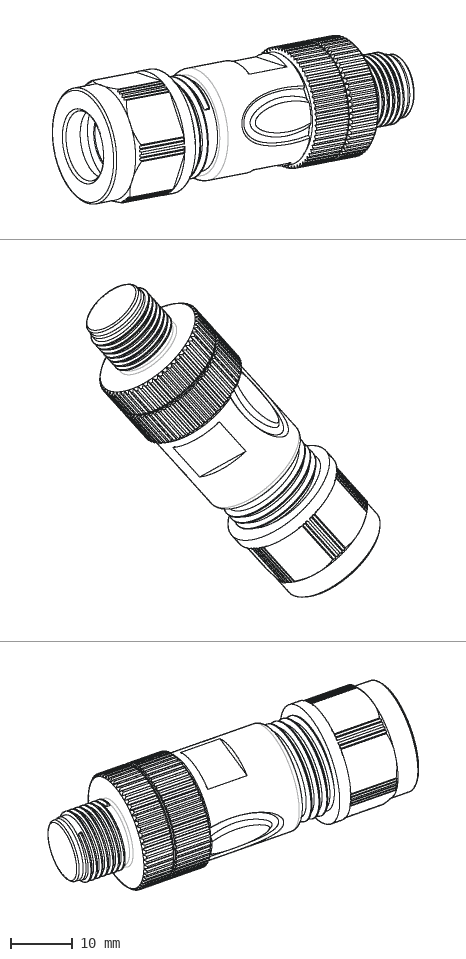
import cadquery as cq
import math



TOTAL_LENGTH = 60.4

COLLAR_RADIUS = 9.55
COLLAR_END = 4.0
COLLAR_CHAMFER = 0.35
NUT_DIAMETER = 20.5
NUT_RADIUS = NUT_DIAMETER / 2
NUT_FLAT_DISTANCE = 9.5
NUT_FLATS = 6
FLATS_END = 13.0
FLANGE_END = 15.05
HEX_TILT = 4.0

GRIP_OFFSETS = (-1.0, -0.4, 0.4, 1.0)
GRIP_GROOVE_RADIUS = 0.21

ENTRY_RADIUS = 5.75
ENTRY_CHAMFER = 0.4
ENTRY_LENGTH = 3.15
CAVITY_RADIUS = 6.95
CAVITY_DEPTH = 5.3
SEAL_RADIUS = 5.1
SEAL_DEPTH = 0.25

REAR_CORE_RADIUS = 7.6
REAR_CREST_RADIUS = 8.45
REAR_PITCH = 1.45
REAR_THREAD_START = 14.2
REAR_THREAD_TURNS = 3.9
REAR_TOOTH_BASE = 1.2
REAR_TOOTH_CREST = 0.2

BODY_START = 20.95
BODY_END = 37.9
BODY_RADIUS = 9.25
BODY_FILLET = 0.95
NECK_RADIUS = 8.7

WRENCH_START = 29.35
WRENCH_END = 36.55
WRENCH_DISTANCE = 8.0
WRENCH_TILT = 4.5

BADGE_TILT = 10.5
BADGE_DEPTH = 0.5
BADGE_INNER_HEIGHT = 7.25
BADGE_OUTER_HEIGHT = 9.65
RING_CENTRE = 34.0
RING_INNER_SIZE = (6.5, 3.55)
RING_OUTER_SIZE = (9.9, 6.95)
ISLAND_CENTRE = 33.45
ISLAND_INNER_SIZE = (9.0, 4.1)
ISLAND_OUTER_SIZE = (5.6, 1.7)

KNURL_RADIUS = 9.95
KNURL_DEPTH = 0.4
KNURL_LAND_SHARE = 0.4
FIXED_RING_START = 38.5
FIXED_RING_END = 44.7
FIXED_RING_TEETH = 64
TURNING_RING_START = 45.0
TURNING_RING_END = 50.55
TURNING_RING_TEETH = 62
TURNING_RING_CHAMFER = 0.4
RING_GAP_RADIUS = 9.4

PLUG_RADIUS = 5.45
PLUG_FLARE = 0.4
TIP_RADIUS = 5.25
TIP_TAPER_START = 58.95
TIP_TAPER_END = 59.4
TIP_CHAMFER = 0.3
PLUG_CREST_RADIUS = 6.0
PLUG_THREAD_START = 51.45
PLUG_THREAD_START_TURN = 80.0
PLUG_THREAD_TURNS = 6.9
PLUG_THREAD_LENGTH = 6.95
PLUG_PITCH = PLUG_THREAD_LENGTH / PLUG_THREAD_TURNS
PLUG_TOOTH_BASE = 0.8
PLUG_TOOTH_CREST = 0.25

THREAD_ROOT_OVERLAP = 0.2


def across_axis(y):
    """Workplane square to the connector axis at y; its normal is -Y, so +Y is a negative extrusion."""
    return cq.Workplane("XZ", origin=(0, y, 0))


def cylinder(radius, start, end):
    return across_axis(start).circle(radius).extrude(start - end)


def turn(shape, degrees):
    """Turn about the connector axis, carrying +Z towards -X."""
    return shape.rotate((0, 0, 0), (0, 1, 0), -degrees)


def make_core():
    """Everything that is round, without the nut, threads and knurled rings."""
    return (
        cq.Workplane("XY")
        .moveTo(0, COLLAR_END)
        .lineTo(REAR_CORE_RADIUS, COLLAR_END)
        .lineTo(REAR_CORE_RADIUS, BODY_START)
        .lineTo(BODY_RADIUS - BODY_FILLET, BODY_START)
        .radiusArc((BODY_RADIUS, BODY_START + BODY_FILLET), -BODY_FILLET)
        .lineTo(BODY_RADIUS, BODY_END)
        .lineTo(NECK_RADIUS, BODY_END)
        .lineTo(NECK_RADIUS, FIXED_RING_END)
        .lineTo(RING_GAP_RADIUS, FIXED_RING_END)
        .lineTo(RING_GAP_RADIUS, TURNING_RING_START)
        .lineTo(NECK_RADIUS, TURNING_RING_START)
        .lineTo(NECK_RADIUS, TURNING_RING_END)
        .lineTo(PLUG_RADIUS + PLUG_FLARE, TURNING_RING_END)
        .radiusArc((PLUG_RADIUS, TURNING_RING_END + PLUG_FLARE), PLUG_FLARE)
        .lineTo(PLUG_RADIUS, TIP_TAPER_START)
        .lineTo(TIP_RADIUS, TIP_TAPER_END)
        .lineTo(TIP_RADIUS, TOTAL_LENGTH - TIP_CHAMFER)
        .lineTo(TIP_RADIUS - TIP_CHAMFER, TOTAL_LENGTH)
        .lineTo(0, TOTAL_LENGTH)
        .close()
        .revolve(360, (0, 0, 0), (0, 1, 0))
    )


def make_nut():
    cone_length = NUT_RADIUS - COLLAR_RADIUS
    nut = (
        cq.Workplane("XY")
        .lineTo(COLLAR_RADIUS - COLLAR_CHAMFER, 0)
        .lineTo(COLLAR_RADIUS, COLLAR_CHAMFER)
        .lineTo(COLLAR_RADIUS, COLLAR_END)
        .lineTo(NUT_RADIUS, COLLAR_END + cone_length)
        .lineTo(NUT_RADIUS, FLANGE_END)
        .lineTo(0, FLANGE_END)
        .close()
        .revolve(360, (0, 0, 0), (0, 1, 0))
    )
    flats_length = FLATS_END - COLLAR_END
    flat_cutter = cq.Workplane("XY").box(
        2 * NUT_RADIUS, flats_length, NUT_RADIUS, centered=(True, False, False)
    ).translate((0, COLLAR_END, NUT_FLAT_DISTANCE))
    step = 360 / NUT_FLATS
    for i in range(NUT_FLATS):
        nut = nut.cut(turn(flat_cutter, HEX_TILT + i * step))
        corner_angle = HEX_TILT + (i + 0.5) * step
        for offset in GRIP_OFFSETS:
            groove = cylinder(GRIP_GROOVE_RADIUS, COLLAR_END, FLATS_END).translate((0, 0, NUT_RADIUS))
            nut = nut.cut(turn(groove, corner_angle + math.degrees(offset / NUT_RADIUS)))
    return nut


def make_cable_entry():
    return (
        cq.Workplane("XY")
        .lineTo(ENTRY_RADIUS + ENTRY_CHAMFER, 0)
        .lineTo(ENTRY_RADIUS, ENTRY_CHAMFER)
        .lineTo(ENTRY_RADIUS, ENTRY_LENGTH)
        .lineTo(CAVITY_RADIUS, ENTRY_LENGTH)
        .lineTo(CAVITY_RADIUS, CAVITY_DEPTH)
        .lineTo(SEAL_RADIUS, CAVITY_DEPTH)
        .lineTo(SEAL_RADIUS, CAVITY_DEPTH + SEAL_DEPTH)
        .lineTo(0, CAVITY_DEPTH + SEAL_DEPTH)
        .close()
        .revolve(360, (0, 0, 0), (0, 1, 0))
    )


def make_thread(core_radius, crest_radius, pitch, turns, base_width, crest_width, start):
    """Right-handed thread ridge that begins on the +X side at Y = start."""
    root_radius = core_radius - THREAD_ROOT_OVERLAP
    helix = cq.Workplane(cq.Wire.makeHelix(pitch, pitch * turns, root_radius))
    ridge = (
        cq.Workplane("XZ")
        .moveTo(root_radius, -base_width / 2)
        .lineTo(crest_radius, -crest_width / 2)
        .lineTo(crest_radius, crest_width / 2)
        .lineTo(root_radius, base_width / 2)
        .close()
        .sweep(helix, isFrenet=True)
    )
    return ridge.rotate((0, 0, 0), (1, 0, 0), -90).translate((0, start, 0))


def make_knurled_ring(teeth, start, end):
    """Ring with flat-topped teeth separated by V grooves."""
    pitch_angle = 2 * math.pi / teeth
    half_land = KNURL_LAND_SHARE * pitch_angle / 2
    points = []
    for i in range(teeth):
        middle = i * pitch_angle
        for radius, angle in (
            (KNURL_RADIUS, middle - half_land),
            (KNURL_RADIUS, middle + half_land),
            (KNURL_RADIUS - KNURL_DEPTH, middle + pitch_angle / 2),
        ):
            points.append((radius * math.cos(angle), radius * math.sin(angle)))
    return across_axis(start).polyline(points).close().extrude(start - end)


def make_turning_ring():
    ring = make_knurled_ring(TURNING_RING_TEETH, TURNING_RING_START, TURNING_RING_END)
    envelope = cylinder(KNURL_RADIUS, TURNING_RING_START, TURNING_RING_END)
    return ring.intersect(envelope.edges().chamfer(TURNING_RING_CHAMFER))


def make_wrench_cutter():
    return cq.Workplane("XY").box(
        2 * BODY_RADIUS, WRENCH_END - WRENCH_START, BODY_RADIUS, centered=(True, False, False)
    ).translate((0, WRENCH_START, WRENCH_DISTANCE))


def make_oval(centre, inner_size, outer_size):
    """Solid of ellipses facing +Z, going from the inner to the outer (half length, half width)."""
    rise = BADGE_OUTER_HEIGHT - BADGE_INNER_HEIGHT
    inner_length, inner_width = inner_size
    outer_length, outer_width = outer_size
    return (
        cq.Workplane("XY", origin=(0, centre, BADGE_INNER_HEIGHT))
        .ellipse(inner_width, inner_length)
        .workplane(offset=rise)
        .ellipse(outer_width, outer_length)
        .loft(ruled=True)
    )


def make_badge_cutter():
    ring = make_oval(RING_CENTRE, RING_INNER_SIZE, RING_OUTER_SIZE)
    island = make_oval(ISLAND_CENTRE, ISLAND_INNER_SIZE, ISLAND_OUTER_SIZE)
    floor = cylinder(BODY_RADIUS - BADGE_DEPTH, 0, TOTAL_LENGTH)
    body_zone = cylinder(2 * BODY_RADIUS, BODY_START, BODY_END)
    return ring.cut(island).cut(floor).intersect(body_zone)


result = make_core()

wrench_cutter = make_wrench_cutter()
badge_cutter = make_badge_cutter()
for half_turn in (0, 180):
    result = result.cut(turn(wrench_cutter, WRENCH_TILT + half_turn))
    result = result.cut(turn(badge_cutter, 90 + BADGE_TILT + half_turn))

result = result.union(make_knurled_ring(FIXED_RING_TEETH, FIXED_RING_START, FIXED_RING_END))
result = result.union(make_turning_ring())
plug_thread = make_thread(
    PLUG_RADIUS, PLUG_CREST_RADIUS, PLUG_PITCH, PLUG_THREAD_TURNS,
    PLUG_TOOTH_BASE, PLUG_TOOTH_CREST, PLUG_THREAD_START,
)
result = result.union(turn(plug_thread, PLUG_THREAD_START_TURN))
result = result.union(make_thread(
    REAR_CORE_RADIUS, REAR_CREST_RADIUS, REAR_PITCH, REAR_THREAD_TURNS,
    REAR_TOOTH_BASE, REAR_TOOTH_CREST, REAR_THREAD_START,
))
result = result.union(make_nut()).cut(make_cable_entry())